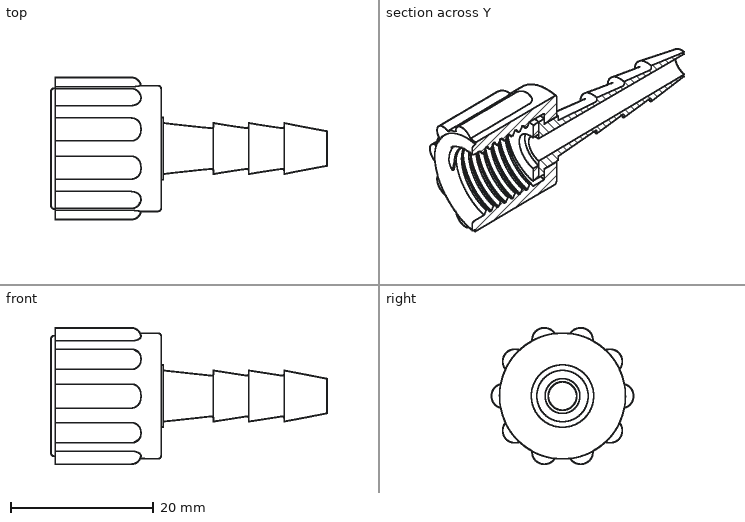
import cadquery as cq
import math


nut_length = 15.52
nut_radius = 8.85
collar_length = 0.62
collar_radius = 8.5
edge_round = 0.5
cavity_radius = 6.5
cavity_depth = 13.2

outer_width = 20.0
rib_count = 10
rib_tip_radius = outer_width / 2
rib_radius = 1.75
rib_end = 12.7
rib_end_round = 1.4
rib_centre_distance = rib_tip_radius - rib_radius

thread_pitch = 1.3
thread_turns = 7
thread_start = 1.75
thread_crest_radius = 5.8
thread_crest_width = 0.3
thread_flank_angle = 27.5
thread_root_overlap = 0.08
runout_length = 2.52
runout_crest_radius = 6.3

total_length = 38.8
head_radius = 5.55
head_thickness = 1.0
shoulder_radius = 4.4
shoulder_end = 15.8
barb_radius = 3.6
barb_root_radius = 2.87
barb_count = 3
barb_pitch = 4.95
first_barb = 22.8
barb_root_round = 0.25
tip_radius = 2.45
bore_inlet_radius = 2.17
bore_outlet_radius = 1.98
head_front = cavity_depth - head_thickness

gasket_thickness = 1.0
gasket_radius = head_radius
gasket_hole_radius = 3.03

AXIS_START = (0, 0, 0)
AXIS_END = (1, 0, 0)


def arc_middle_inset(radius):
    """Distance of a quarter arc's middle point from each of the two faces it blends."""
    return radius * (1 - math.sqrt(0.5))


def x_cylinder(radius, start, end):
    """Solid cylinder along X between two stations."""
    return cq.Workplane("YZ").workplane(offset=start).circle(radius).extrude(end - start)


def make_shell():
    """Nut without ribs or thread, turned about X, with rounded rims."""
    round_middle = arc_middle_inset(edge_round)
    mouth_radius = cavity_radius + edge_round
    return (
        cq.Workplane("XZ")
        .moveTo(edge_round, cavity_radius)
        .threePointArc((round_middle, cavity_radius + round_middle), (0, mouth_radius))
        .lineTo(0, collar_radius - edge_round)
        .threePointArc((round_middle, collar_radius - round_middle), (edge_round, collar_radius))
        .lineTo(collar_length, collar_radius)
        .lineTo(collar_length, nut_radius)
        .lineTo(nut_length - edge_round, nut_radius)
        .threePointArc(
            (nut_length - round_middle, nut_radius - round_middle),
            (nut_length, nut_radius - edge_round),
        )
        .lineTo(nut_length, shoulder_radius)
        .lineTo(cavity_depth, shoulder_radius)
        .lineTo(cavity_depth, cavity_radius)
        .close()
        .revolve(360, AXIS_START, AXIS_END)
    )


def make_rib(angle):
    """Round grip rib with a domed rear end, trimmed clear of the cavity."""
    rib = (
        x_cylinder(rib_radius, collar_length, rib_end)
        .faces(">X")
        .edges()
        .fillet(rib_end_round)
        .translate((0, rib_centre_distance, 0))
    )
    cavity = x_cylinder(cavity_radius, 0, cavity_depth)
    return rib.cut(cavity).rotate(AXIS_START, AXIS_END, angle)


def thread_section(crest_radius, y):
    """Trapezoidal ridge section pointing at the Z axis, in a plane of constant y."""
    root_radius = cavity_radius + thread_root_overlap
    half_crest = thread_crest_width / 2
    flank_run = (root_radius - crest_radius) * math.tan(math.radians(thread_flank_angle))
    half_root = half_crest + flank_run
    return (
        cq.Workplane("XZ", origin=(0, y, 0))
        .moveTo(root_radius, -half_root)
        .lineTo(crest_radius, -half_crest)
        .lineTo(crest_radius, half_crest)
        .lineTo(root_radius, half_root)
        .close()
    )


def make_thread():
    """Right-hand ridge about Z with a run-out at its first end, then laid along X."""
    helix = cq.Wire.makeHelix(thread_pitch, thread_pitch * thread_turns, cavity_radius)
    ridge = thread_section(thread_crest_radius, 0).sweep(cq.Workplane(helix), isFrenet=True)
    start_wire = thread_section(thread_crest_radius, 0).val()
    end_wire = thread_section(runout_crest_radius, -runout_length).val()
    runout = cq.Workplane(cq.Solid.makeLoft([start_wire, end_wire], True))
    thread = ridge.union(runout)
    return thread.rotate((0, 0, 0), (1, 1, 1), 120).translate((thread_start, 0, 0))


def make_nut():
    """Shell, grip ribs and internal thread joined as one body."""
    nut = make_shell()
    for index in range(rib_count):
        nut = nut.union(make_rib(index * 360 / rib_count))
    return nut.union(make_thread())


def make_tail():
    """Flanged head, shoulder and tapered barbs, with a tapered bore right through."""
    round_middle = arc_middle_inset(barb_root_round)
    outline = (
        cq.Workplane("XZ")
        .moveTo(head_front, bore_inlet_radius)
        .lineTo(head_front, head_radius)
        .lineTo(cavity_depth, head_radius)
        .lineTo(cavity_depth, shoulder_radius)
        .lineTo(shoulder_end, shoulder_radius)
        .lineTo(shoulder_end, barb_radius)
    )
    for index in range(barb_count):
        barb_back = first_barb + index * barb_pitch
        outline = (
            outline.lineTo(barb_back - barb_root_round, barb_root_radius)
            .threePointArc(
                (barb_back - round_middle, barb_root_radius + round_middle),
                (barb_back, barb_root_radius + barb_root_round),
            )
            .lineTo(barb_back, barb_radius)
        )
    return (
        outline.lineTo(total_length, tip_radius)
        .lineTo(total_length, bore_outlet_radius)
        .close()
        .revolve(360, AXIS_START, AXIS_END)
    )


def make_gasket():
    """Flat ring lying against the front of the tail's head."""
    ring = x_cylinder(gasket_radius, head_front - gasket_thickness, head_front)
    return ring.cut(x_cylinder(gasket_hole_radius, 0, head_front))


nut = make_nut()
tail = make_tail()
gasket = make_gasket()

result = cq.Compound.makeCompound([nut.val(), tail.val(), gasket.val()])